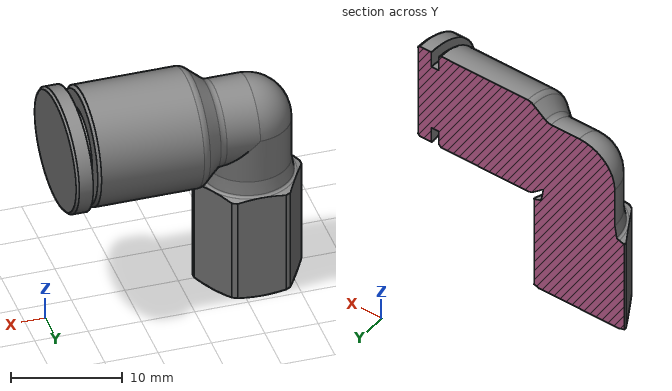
import cadquery as cq
import math


tube_radius = 4.0

hex_across_flats = 9.0
hex_corner_radius = 5.04
hex_top = -5.9
hex_bottom = -16.72
hex_face_radius = 4.46
hex_chamfer_angle = 20
flare_angle = 9
flare_foot_fillet = 0.25

socket_radius = 5.6
socket_blend_start = 3.13
socket_end = 15.65
shoulder_angle = 40
shoulder_blend_radius = 1.0
socket_end_chamfer = 0.28

neck_radius = 3.75
button_start = 16.42
button_end = 17.96
button_height = 11.0
button_width = 13.0
button_chamfer = 0.23


def hexagonal_end():
    """Hexagonal prism with turned corners and both end faces chamfered to a circle."""
    chamfer_height = (hex_corner_radius - hex_face_radius) * math.tan(math.radians(hex_chamfer_angle))
    turned_envelope = (
        cq.Workplane("XZ")
        .moveTo(0, hex_bottom)
        .lineTo(hex_face_radius, hex_bottom)
        .lineTo(hex_corner_radius, hex_bottom + chamfer_height)
        .lineTo(hex_corner_radius, hex_top - chamfer_height)
        .lineTo(hex_face_radius, hex_top)
        .lineTo(0, hex_top)
        .close()
        .revolve(360, (0, 0, 0), (0, 1, 0))
    )
    across_corners = hex_across_flats / math.cos(math.pi / 6)
    prism = (
        cq.Workplane("XY", origin=(0, 0, hex_bottom))
        .polygon(6, across_corners)
        .extrude(hex_top - hex_bottom)
    )
    return prism.intersect(turned_envelope)


def upright_tube():
    """Vertical tube with a spherical top, flaring slightly where it meets the hexagon.

    A small fillet, tangent to the flare, spreads the foot out to the rim of the hexagon's top face.
    """
    angle = math.radians(flare_angle)
    flare_end_radius = hex_face_radius - flare_foot_fillet * math.cos(angle)
    flare_end = hex_top + flare_foot_fillet * (1 - math.sin(angle))
    flare_start = flare_end + (flare_end_radius - tube_radius) / math.tan(angle)
    return (
        cq.Workplane("XZ")
        .moveTo(0, hex_top)
        .lineTo(hex_face_radius, hex_top)
        .radiusArc((flare_end_radius, flare_end), flare_foot_fillet)
        .lineTo(tube_radius, flare_start)
        .lineTo(tube_radius, 0)
        .radiusArc((0, tube_radius), -tube_radius)
        .close()
        .revolve(360, (0, 0, 0), (0, 1, 0))
    )


def socket():
    """Horizontal tube widening through a blended conical shoulder, with the button neck."""
    angle = math.radians(shoulder_angle)
    blend_length = shoulder_blend_radius * math.sin(angle)
    blend_rise = shoulder_blend_radius * (1 - math.cos(angle))
    cone_rise = socket_radius - tube_radius - 2 * blend_rise
    cone_start = socket_blend_start + blend_length
    cone_end = cone_start + cone_rise / math.tan(angle)
    return (
        cq.Workplane("XZ")
        .lineTo(0, tube_radius)
        .lineTo(socket_blend_start, tube_radius)
        .radiusArc((cone_start, tube_radius + blend_rise), -shoulder_blend_radius)
        .lineTo(cone_end, socket_radius - blend_rise)
        .radiusArc((cone_end + blend_length, socket_radius), shoulder_blend_radius)
        .lineTo(socket_end - socket_end_chamfer, socket_radius)
        .lineTo(socket_end, socket_radius - socket_end_chamfer)
        .lineTo(socket_end, neck_radius)
        .lineTo(button_start, neck_radius)
        .lineTo(button_start, 0)
        .close()
        .revolve(360, (0, 0, 0), (1, 0, 0))
    )


def release_button():
    """Elliptical flange, wider in Y than in Z, chamfered on its outer face."""
    return (
        cq.Workplane("YZ", origin=(button_start, 0, 0))
        .ellipse(button_width / 2, button_height / 2)
        .extrude(button_end - button_start)
        .faces(">X")
        .chamfer(button_chamfer)
    )


result = hexagonal_end().union(upright_tube()).union(socket()).union(release_button())